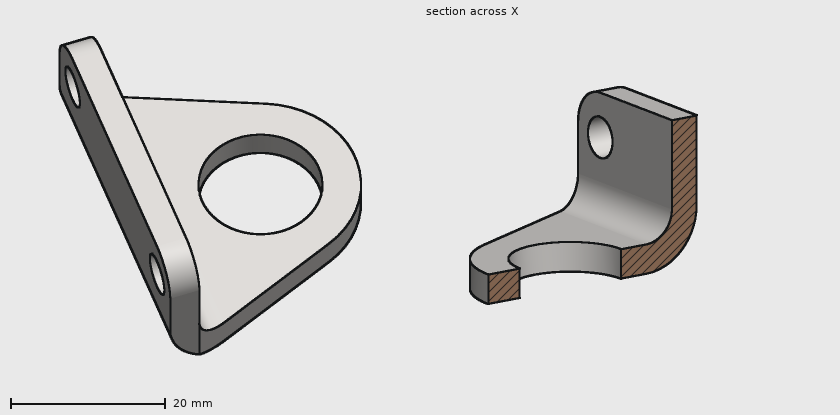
import cadquery as cq
import math

width = 42.0
height = 20.0
thickness = 4.0

inner_bend_radius = 4.0
outer_bend_radius = inner_bend_radius + thickness

corner_radius = 5.0
mount_hole_diameter = 5.5
mount_hole_spacing = 32.0
mount_hole_height = 14.0

tab_hole_diameter = 16.0
tab_end_radius = 13.0
tab_hole_y = 20.0
depth = tab_hole_y + tab_end_radius


def bent_strip():
    """L-shaped strip of constant thickness, at full width."""
    section = (
        cq.Workplane("YZ")
        .moveTo(0, height)
        .lineTo(0, outer_bend_radius)
        .radiusArc((outer_bend_radius, 0), -outer_bend_radius)
        .lineTo(depth, 0)
        .lineTo(depth, thickness)
        .lineTo(outer_bend_radius, thickness)
        .radiusArc((thickness, outer_bend_radius), inner_bend_radius)
        .lineTo(thickness, height)
        .close()
    )
    return section.extrude(width / 2, both=True)


def plan_outline():
    """Full width across the flange, then tapering tangentially into the rounded end."""
    half_width = width / 2
    taper_run = tab_hole_y - thickness
    corner_distance = math.hypot(half_width, taper_run)
    corner_angle = math.atan2(-taper_run, half_width)
    tangent_angle = corner_angle + math.acos(tab_end_radius / corner_distance)
    tangent_x = tab_end_radius * math.cos(tangent_angle)
    tangent_y = tab_hole_y + tab_end_radius * math.sin(tangent_angle)
    return (
        cq.Workplane("XY")
        .moveTo(-half_width, 0)
        .lineTo(half_width, 0)
        .lineTo(half_width, thickness)
        .lineTo(tangent_x, tangent_y)
        .threePointArc((0, depth), (-tangent_x, tangent_y))
        .lineTo(-half_width, thickness)
        .close()
        .extrude(height)
    )


def mount_holes():
    """Pair of holes running along Y through the upright flange."""
    half_spacing = mount_hole_spacing / 2
    return (
        cq.Workplane("XZ")
        .pushPoints([(side * half_spacing, mount_hole_height) for side in (-1, 1)])
        .circle(mount_hole_diameter / 2)
        .extrude(-thickness)
    )


def tab_hole():
    """Large vertical hole, concentric with the rounded tab end."""
    return (
        cq.Workplane("XY")
        .center(0, tab_hole_y)
        .circle(tab_hole_diameter / 2)
        .extrude(thickness)
    )


rounded_strip = bent_strip().faces(">Z").edges("|Y").fillet(corner_radius)
bracket = rounded_strip.intersect(plan_outline())

result = bracket.cut(mount_holes()).cut(tab_hole())